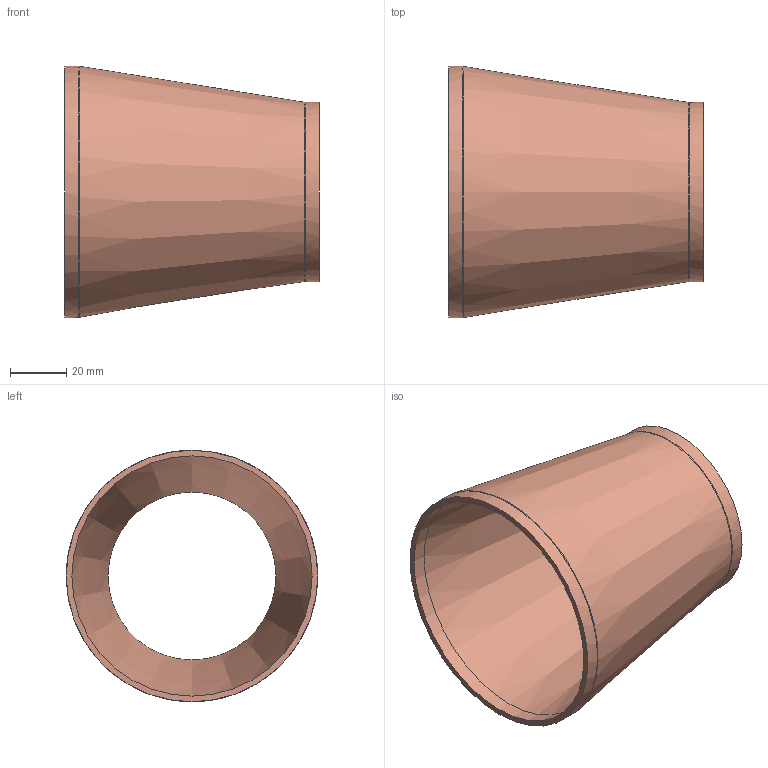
import cadquery as cq

large_diameter = 89.1
small_diameter = 63.5
wall = 2.0
length = 90.0
collar_length = 5.0
blend_radius = 2.0

large_radius = large_diameter / 2
small_radius = small_diameter / 2
taper_start = collar_length
taper_end = length - collar_length


def revolved_reducer(start_radius, end_radius):
    """Solid of revolution about X: large collar, straight taper, small collar."""
    return (
        cq.Workplane("XZ")
        .lineTo(0, start_radius)
        .lineTo(taper_start, start_radius)
        .lineTo(taper_end, end_radius)
        .lineTo(length, end_radius)
        .lineTo(length, 0)
        .close()
        .revolve(360, (0, 0, 0), (1, 0, 0))
    )


def blend_collar_edge(body, edge_position):
    """Round the circular edge where a collar at edge_position meets the taper."""
    half_reach = collar_length / 2
    edge_zone = cq.selectors.BoxSelector(
        (edge_position - half_reach, -large_diameter, -large_diameter),
        (edge_position + half_reach, large_diameter, large_diameter),
    )
    return body.edges("%CIRCLE").edges(edge_zone).fillet(blend_radius)


outer_body = revolved_reducer(large_radius, small_radius)
for collar_edge in (taper_start, taper_end):
    outer_body = blend_collar_edge(outer_body, collar_edge)

bore = revolved_reducer(large_radius - wall, small_radius - wall)

result = outer_body.cut(bore)